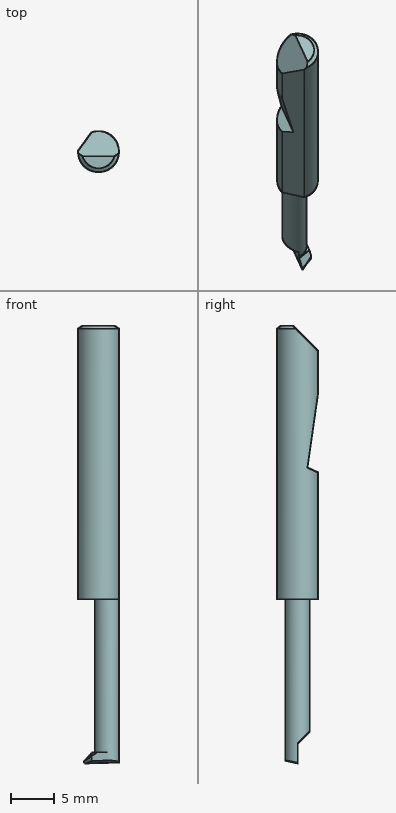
import cadquery as cq

total_length = 50.8
shank_diameter = 4.8
shank_radius = shank_diameter / 2
shank_bottom = 19.05
end_chamfer_radial = 0.45
end_chamfer_axial = 0.35

flat_side_y = 0.1
flat_back_x = -0.8

bevel_edge_y = -0.5

notch_lip_z = 33.8
notch_floor_z = 34.35
notch_floor_y = 1.15
notch_top_z = 42.9

neck_diameter = 2.85
neck_radius = neck_diameter / 2
neck_center_x = shank_radius - neck_radius

rake_y = 0.05
rake_top_z = 2.35
tip_x = -1.75
tip_corner_z = 0.2
tip_low_x = -1.5
tip_height = 1.3
tip_shoulder_x = -0.7
heel_left_x = -0.75
heel_side_height = 0.9
heel_shoulder_x = -0.15
heel_lift = 0.3
edge_tilt_deg = 1.5

clearance = 5.1


def cylinder(radius, bottom, top, center_x=0):
    """Upright cylinder between two heights."""
    return (
        cq.Workplane("XY", origin=(center_x, 0, bottom))
        .circle(radius)
        .extrude(top - bottom)
    )


def side_prism(points):
    """Prism through the full width along X, from (Y, Z) points."""
    return cq.Workplane("YZ").polyline(points).close().extrude(clearance, both=True)


def make_shank():
    shank = (
        cylinder(shank_radius, shank_bottom, total_length)
        .faces(">Z")
        .chamfer(end_chamfer_axial, end_chamfer_radial)
    )

    flat_edge_x = -(shank_radius**2 - flat_side_y**2) ** 0.5
    flat_back_y = (shank_radius**2 - flat_back_x**2) ** 0.5
    run_x = flat_back_x - flat_edge_x
    run_y = flat_back_y - flat_side_y
    flat_cut = (
        cq.Workplane("XY")
        .polyline([
            (flat_edge_x - run_x, flat_side_y - run_y),
            (flat_back_x + run_x, flat_back_y + run_y),
            (-clearance, flat_back_y + run_y),
            (-clearance, flat_side_y - run_y),
        ])
        .close()
        .extrude(total_length)
    )
    bevel_cut = side_prism([
        (bevel_edge_y, total_length),
        (bevel_edge_y + clearance, total_length - clearance),
        (bevel_edge_y + clearance, total_length),
    ])
    notch_cut = side_prism([
        (shank_radius, notch_lip_z),
        (notch_floor_y, notch_floor_z),
        (shank_radius, notch_top_z),
    ])
    return shank.cut(flat_cut).cut(bevel_cut).cut(notch_cut)


def make_neck():
    return cylinder(neck_radius, 0, shank_bottom, neck_center_x)


def make_tip():
    """Hooked tip tapering from the rake face back to its heel."""
    return (
        cq.Workplane("XZ", origin=(0, rake_y, 0))
        .polyline([
            (tip_x, tip_corner_z),
            (tip_low_x, 0),
            (neck_center_x, 0),
            (neck_center_x, tip_height),
            (tip_shoulder_x, tip_height),
        ])
        .close()
        .workplane(offset=neck_radius + rake_y)
        .polyline([
            (heel_left_x, heel_side_height),
            (heel_left_x, heel_lift),
            (neck_center_x, heel_lift),
            (neck_center_x, tip_height),
            (heel_shoulder_x, tip_height),
        ])
        .close()
        .loft(ruled=True)
    )


def make_rake_cut():
    """Removes the back half of the neck end, with a 45 degree run-out."""
    return side_prism([
        (rake_y, -clearance),
        (rake_y, rake_top_z),
        (rake_y + clearance, rake_top_z + clearance),
        (rake_y + clearance, -clearance),
    ])


def make_relief_cut():
    """Slopes the bottom face up to the heel and away from the lowest tip point."""
    slope = heel_lift / (neck_radius + rake_y)
    relief = side_prism([
        (rake_y, 0),
        (rake_y - clearance, slope * clearance),
        (rake_y - clearance, -clearance),
        (rake_y, -clearance),
    ])
    pivot = (tip_low_x, rake_y, 0)
    pivot_axis_end = (tip_low_x, rake_y + 0.5, 0)
    return relief.rotate(pivot, pivot_axis_end, -edge_tilt_deg)


cutting_end = make_neck().union(make_tip()).cut(make_rake_cut()).cut(make_relief_cut())
result = make_shank().union(cutting_end)